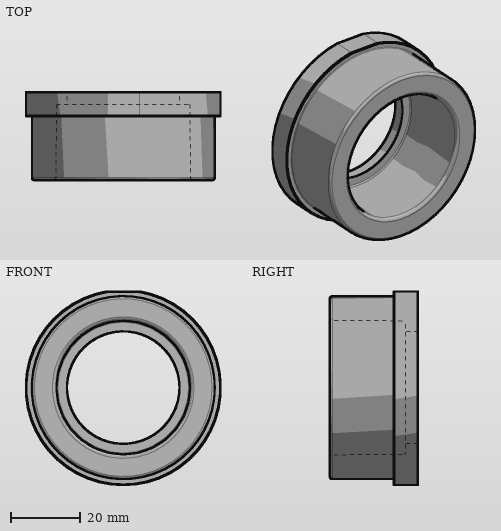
import cadquery as cq

total_length = 25.5
flange_radius = 56.5 / 2
flange_thickness = 7.0
flange_flat_height = 27.85
flange_edge_chamfer = 0.2
body_radius = 53.0 / 2
body_front_fillet = 0.8
body_root_fillet = 0.2

through_radius = 32.5 / 2
seat_mouth_radius = 39.0 / 2
seat_floor_radius = 38.6 / 2
seat_mouth_fillet = 1.0
seat_floor_fillet = 0.4
seat_depth = 22.0

flange_front = total_length - flange_thickness


def cylinder(radius, front, length):
    """Cylinder along +Y whose front end lies at the given Y."""
    plane = cq.Plane(origin=(0, front, 0), xDir=(1, 0, 0), normal=(0, 1, 0))
    return cq.Workplane(plane).circle(radius).extrude(length)


def make_flange():
    """Disc with one flat on top and a broken front edge."""
    disc = cylinder(flange_radius, flange_front, flange_thickness)
    stock_height = flange_flat_height + flange_radius
    flat_limit = (
        cq.Workplane("XY")
        .box(2 * flange_radius, flange_thickness, stock_height, centered=(True, False, False))
        .translate((0, flange_front, -flange_radius))
    )
    return disc.intersect(flat_limit).faces("<Y").edges().chamfer(flange_edge_chamfer)


def make_body():
    """Plain cylinder with a rounded front edge."""
    body = cylinder(body_radius, 0, total_length)
    return body.faces("<Y").edges().fillet(body_front_fillet)


def make_seat():
    """Tapered plug that hollows out the front of the bore."""
    profile = (
        cq.Workplane("XY")
        .lineTo(seat_mouth_radius, 0)
        .lineTo(seat_floor_radius, seat_depth)
        .lineTo(0, seat_depth)
        .close()
    )
    plug = profile.revolve(360, (0, 0, 0), (0, 1, 0))
    return plug.faces(">Y").edges().fillet(seat_floor_fillet)


def round_body_root(part):
    """Blend the body into the front face of the flange."""
    on_axis_at_flange = cq.selectors.NearestToPointSelector((0, flange_front, 0))
    flange_face = part.faces("|Y").faces(on_axis_at_flange)
    inner_circle = cq.selectors.RadiusNthSelector(0)
    return flange_face.edges("%CIRCLE").edges(inner_circle).fillet(body_root_fillet)


def round_seat_mouth(part):
    """Round the edge where the seat opens at the front face."""
    mouth = cq.selectors.RadiusNthSelector(0)
    return part.faces("<Y").edges(mouth).fillet(seat_mouth_fillet)


bushing = round_body_root(make_body().union(make_flange()))
bushing = bushing.cut(cylinder(through_radius, 0, total_length)).cut(make_seat())
result = round_seat_mouth(bushing)